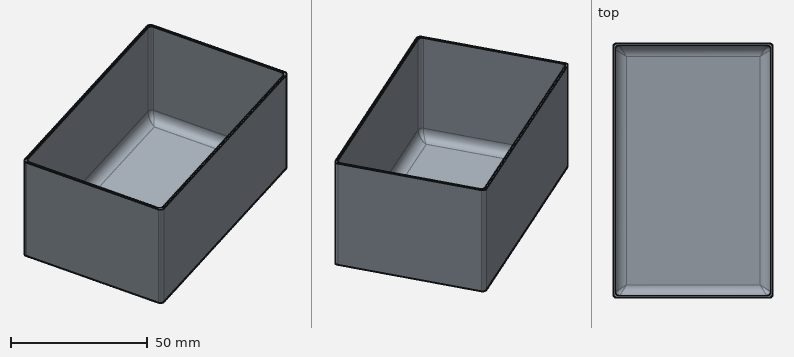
import cadquery as cq

width = 58.4
length = 93.0
height = 43.5

wall = 0.8
floor = 0.8
corner_radius = 1.5
floor_fillet_radius = 4.0


def outer_block():
    """Solid outer shape with rounded vertical corners."""
    block = cq.Workplane("XY").box(width, length, height, centered=(True, True, False))
    return block.edges("|Z").fillet(corner_radius)


def cavity():
    """Inner space: the floor blend comes first, so the corner rounding runs down its mitres."""
    space = cq.Workplane("XY").box(
        width - 2 * wall, length - 2 * wall, height - floor, centered=(True, True, False)
    )
    space = space.faces("<Z").edges().fillet(floor_fillet_radius)
    space = space.edges("|Z").fillet(corner_radius)
    return space.translate((0, 0, floor))


result = outer_block().cut(cavity())